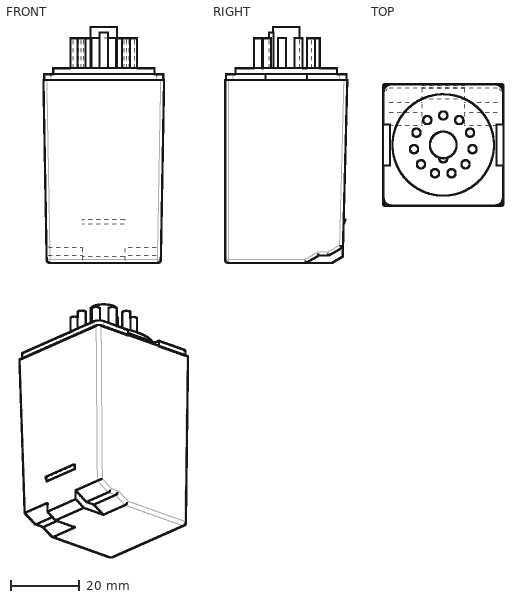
import cadquery as cq
import math

case_top = 53.4
plate_top = 55.2
flange_top = 56.9
pin_top = 65.7
key_top = 67.4
post_top = 69.0

case_width = 35.3
case_width_bottom = 33.4
case_depth = 35.75
back_taper = 1.4
case_round = 1.05

cutout_slope = math.radians(30)
cutout_start_y = 5.7
cutout_shelf_y = 9.45
cutout_shelf_end_y = 12.35

tab_width = 12.4
tab_height = 8.3
tab_chamfer_y = 3.2
tab_chamfer_z = 1.85

ridge_bottom = 11.45
ridge_top = 12.7
ridge_projection = 0.5

plate_width = 34.8
plate_depth = 35.25
plate_corner_radius = 2.0
notch_length = 12.1
notch_depth = 1.8

flange_diameter = 29.7
post_diameter = 7.8
key_diameter = 2.4
pin_count = 11
pin_diameter = 2.4
pin_circle_radius = 8.6

front_y = -case_depth / 2
back_y = case_depth / 2


def back_face_y(z):
    """Y position of the sloping +Y face at height z."""
    return back_y - back_taper * (1 - z / case_top)


def extrude_along_x(points, width):
    """Prism with the given (y, z) outline, centred on X = 0."""
    return cq.Workplane("YZ").polyline(points).close().extrude(width / 2, both=True)


def cylinder(diameter, bottom, top, x=0, y=0):
    """Upright cylinder between two heights."""
    return (
        cq.Workplane("XY", origin=(x, y, bottom))
        .circle(diameter / 2)
        .extrude(top - bottom)
    )


def make_case():
    """Tapered case with the stepped cut-out and rounded edges."""
    rise = math.tan(cutout_slope)
    shelf_z = (cutout_shelf_y - cutout_start_y) * rise
    back_lean = back_taper / case_top
    run = (back_face_y(shelf_z) - cutout_shelf_end_y) / (1 - back_lean * rise)
    cutout_end_y = cutout_shelf_end_y + run
    cutout_end_z = shelf_z + run * rise

    side_outline = [
        (front_y, 0),
        (cutout_start_y, 0),
        (cutout_shelf_y, shelf_z),
        (cutout_shelf_end_y, shelf_z),
        (cutout_end_y, cutout_end_z),
        (back_y, case_top),
        (front_y, case_top),
    ]
    side_prism = extrude_along_x(side_outline, case_width)

    front_outline = [
        (-case_width_bottom / 2, 0),
        (case_width_bottom / 2, 0),
        (case_width / 2, case_top),
        (-case_width / 2, case_top),
    ]
    front_prism = (
        cq.Workplane("XZ").polyline(front_outline).close().extrude(case_depth, both=True)
    )
    case = side_prism.intersect(front_prism)

    side_borders = case.faces("<X or >X").edges()
    lower_front_edge = case.faces("<Y").edges("<Z")
    return side_borders.add(lower_front_edge).edges("not >Z").fillet(case_round)


def make_tab():
    """Chamfered tab in the cut-out, flush with the bottom and the +Y face."""
    chamfer_back_y = back_face_y(tab_chamfer_z)
    outline = [
        (0, 0),
        (chamfer_back_y - tab_chamfer_y, 0),
        (chamfer_back_y, tab_chamfer_z),
        (back_face_y(tab_height), tab_height),
        (0, tab_height),
    ]
    return extrude_along_x(outline, tab_width)


def make_grip_ridge():
    """Small wedge standing out of the +Y face, flat on top and sloping in below."""
    top_y = back_face_y(ridge_top)
    root_y = top_y - ridge_projection
    outline = [
        (root_y, ridge_bottom),
        (back_face_y(ridge_bottom), ridge_bottom),
        (top_y + ridge_projection, ridge_top),
        (root_y, ridge_top),
    ]
    return extrude_along_x(outline, tab_width)


def make_plate():
    """Rounded cover plate with its two side notches."""
    height = plate_top - case_top
    plate = (
        cq.Workplane("XY", origin=(0, 0, case_top))
        .rect(plate_width, plate_depth)
        .extrude(height)
        .edges("|Z")
        .fillet(plate_corner_radius)
    )
    notches = (
        cq.Workplane("XY", origin=(0, 0, case_top))
        .pushPoints([(-plate_width / 2, 0), (plate_width / 2, 0)])
        .rect(2 * notch_depth, notch_length)
        .extrude(height)
    )
    return plate.cut(notches)


def make_plug():
    """Round base carrying the keyed centre post and the ring of pins."""
    plug = cylinder(flange_diameter, plate_top, flange_top)
    plug = plug.union(cylinder(post_diameter, flange_top, post_top))
    plug = plug.union(cylinder(key_diameter, flange_top, key_top, y=-post_diameter / 2))
    for index in range(pin_count):
        angle = 2 * math.pi * index / pin_count
        x = pin_circle_radius * math.sin(angle)
        y = pin_circle_radius * math.cos(angle)
        plug = plug.union(cylinder(pin_diameter, flange_top, pin_top, x, y))
    return plug


result = make_case()
for feature in (make_tab(), make_grip_ridge(), make_plate(), make_plug()):
    result = result.union(feature)